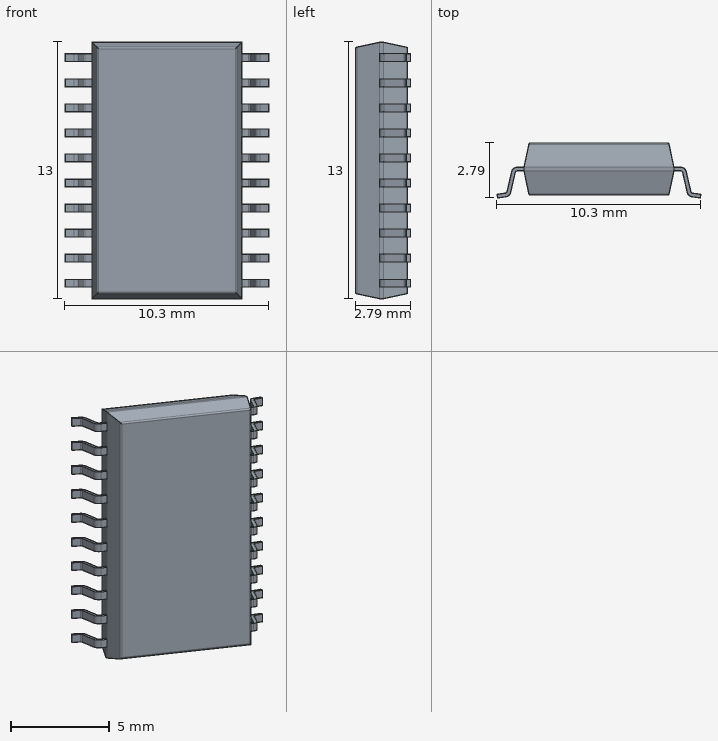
import cadquery as cq
import math

body_width = 7.6
body_height = 13.0
body_depth = 2.65
draft_angle = 12.0
face_edge_radius = 0.09

overall_width = 10.34
strip_thickness = 0.2
lead_width = 0.4
lead_row_span = 11.43
leads_per_side = 10
lead_pitch = lead_row_span / (leads_per_side - 1)
bend_radius = 0.2
leg_angle = 77.0
foot_angle = 8.0
foot_length = 0.43
foot_standoff = 0.14
root_overlap = 0.26

leg_slope = math.radians(leg_angle)
foot_slope = math.radians(foot_angle)
half_strip = strip_thickness / 2
taper_depth = (body_depth - strip_thickness) / 2


def tapered_half(direction):
    """Half body tapering away from the middle band; direction is +1 for back, -1 for front."""
    half = (
        cq.Workplane("XZ", origin=(0, direction * half_strip, 0))
        .rect(body_width, body_height)
        .extrude(-direction * taper_depth, taper=draft_angle)
    )
    end_face = ">Y" if direction > 0 else "<Y"
    return half.faces(end_face).edges().fillet(face_edge_radius)


def make_body():
    band = cq.Workplane("XY").box(body_width, strip_thickness, body_height)
    return band.union(tapered_half(1)).union(tapered_half(-1))


def lead_surface(offset):
    """XY points where one side of the strip changes shape, from root to foot tip.

    The offset is measured from the strip's centre line, positive towards the back.
    """
    upper_drop = bend_radius * (1 - math.cos(leg_slope))
    upper_reach = bend_radius * math.sin(leg_slope)
    lower_drop = bend_radius * (math.cos(foot_slope) - math.cos(leg_slope))
    lower_reach = bend_radius * (math.sin(leg_slope) - math.sin(foot_slope))
    foot_drop = foot_length * math.sin(foot_slope)
    foot_reach = foot_length * math.cos(foot_slope)

    tip_x = overall_width / 2 - half_strip * math.sin(foot_slope)
    tip_y = half_strip * math.cos(foot_slope) - body_depth / 2 - foot_standoff
    leg_drop = -tip_y - upper_drop - lower_drop - foot_drop
    leg_reach = leg_drop / math.tan(leg_slope)
    shoulder_x = tip_x - foot_reach - lower_reach - leg_reach - upper_reach

    centre_line = [
        (body_width / 2 - root_overlap, 0, 0),
        (shoulder_x, 0, 0),
        (shoulder_x + upper_reach, -upper_drop, leg_slope),
        (shoulder_x + upper_reach + leg_reach, -upper_drop - leg_drop, leg_slope),
        (tip_x - foot_reach, tip_y + foot_drop, foot_slope),
        (tip_x, tip_y, foot_slope),
    ]
    return [(x + offset * math.sin(slope), y + offset * math.cos(slope)) for x, y, slope in centre_line]


def trace(outline, points):
    """Draw one side of the strip from its first point: straight, bend, straight, bend, straight."""
    return (
        outline.lineTo(*points[1])
        .tangentArcPoint(points[2], relative=False)
        .lineTo(*points[3])
        .tangentArcPoint(points[4], relative=False)
        .lineTo(*points[5])
    )


def make_lead():
    back_side = lead_surface(half_strip)
    front_side = lead_surface(-half_strip)
    front_side.reverse()
    outline = trace(cq.Workplane("XY").moveTo(*back_side[0]), back_side)
    outline = trace(outline.lineTo(*front_side[0]), front_side)
    return outline.close().extrude(lead_width / 2, both=True)


right_lead = make_lead()
left_lead = right_lead.mirror("YZ")

result = make_body()
for row in range(leads_per_side):
    lead_z = row * lead_pitch - lead_row_span / 2
    for lead in (left_lead, right_lead):
        result = result.union(lead.translate((0, 0, lead_z)))